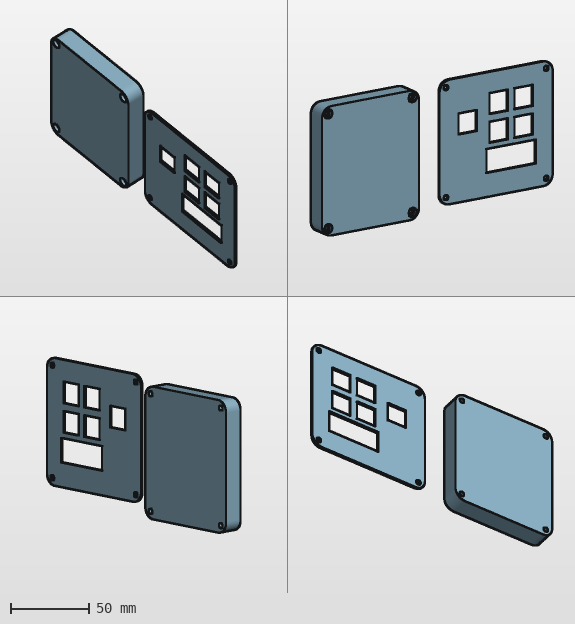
import cadquery as cq

total_width = 177.5
total_height = 88.9

corner_radius = 7.5
screw_hole_diameter = 3.4
screw_hole_inset = 5.0

case_width = 74.7
case_depth = 13.0
case_height = 86.6
counterbore_diameter = 6.0
counterbore_depth = 3.0

plate_width = 87.0
plate_height = 83.4
plate_thickness = 1.5

key_size = 14.0
key_pitch = 19.2
key_grid_x = 55.0
key_grid_drop = 30.9
single_key_spacing = 33.4

window_width = 38.0
window_height = 16.0
window_drop = 28.4

case_center_x = case_width / 2
case_center_z = case_height / 2
plate_left_x = total_width - plate_width
plate_center_x = total_width - plate_width / 2
plate_center_z = total_height - plate_height / 2


def front_plane(x, z):
    """Workplane on the front faces, with local Y up and its normal toward +Y."""
    plane = cq.Plane(origin=(x, 0, z), xDir=(-1, 0, 0), normal=(0, 1, 0))
    return cq.Workplane(plane)


def rounded_slab(x, z, width, height, thickness):
    """Upright slab with rounded corners, extending back from Y = 0."""
    slab = front_plane(x, z).rect(width, height).extrude(thickness)
    return slab.edges("|Y").fillet(corner_radius)


def corner_cylinders(x, z, width, height, diameter, depth):
    """Four cylinders at the screw positions of a slab, used as cutters."""
    span_x = width - 2 * screw_hole_inset
    span_z = height - 2 * screw_hole_inset
    positions = front_plane(x, z).rect(span_x, span_z, forConstruction=True).vertices()
    return positions.circle(diameter / 2).extrude(depth)


def rectangular_opening(x, z, width, height):
    """Cutter for a rectangular opening through the plate."""
    return front_plane(x, z).rect(width, height).extrude(plate_thickness)


def make_case():
    """Solid block with a counterbored screw hole in each corner."""
    layout = (case_center_x, case_center_z, case_width, case_height)
    case = rounded_slab(*layout, case_depth)
    case = case.cut(corner_cylinders(*layout, screw_hole_diameter, case_depth))
    return case.cut(corner_cylinders(*layout, counterbore_diameter, counterbore_depth))


def make_switch_plate():
    """Thin plate with corner screw holes, five key openings and a display window."""
    layout = (plate_center_x, plate_center_z, plate_width, plate_height)
    plate = rounded_slab(*layout, plate_thickness)
    plate = plate.cut(corner_cylinders(*layout, screw_hole_diameter, plate_thickness))

    grid_x = plate_left_x + key_grid_x
    grid_z = total_height - key_grid_drop
    key_centers = [(grid_x - single_key_spacing, grid_z)]
    for side in (-1, 1):
        for level in (-1, 1):
            key_centers.append((grid_x + side * key_pitch / 2, grid_z + level * key_pitch / 2))
    for x, z in key_centers:
        plate = plate.cut(rectangular_opening(x, z, key_size, key_size))

    return plate.cut(rectangular_opening(grid_x, grid_z - window_drop, window_width, window_height))


case = make_case()
switch_plate = make_switch_plate()

result = cq.Compound.makeCompound([case.val(), switch_plate.val()])